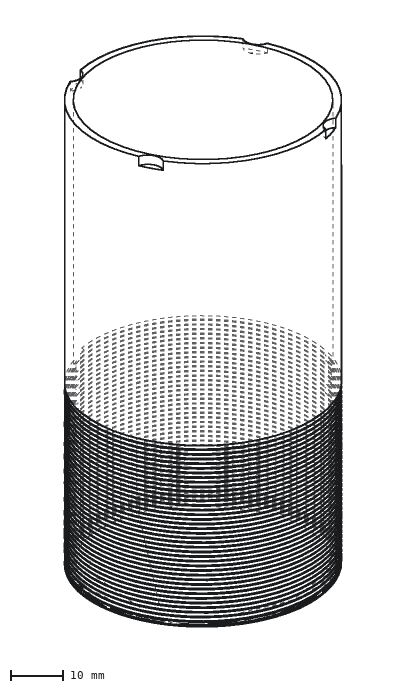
import cadquery as cq

height = 100.0
outer_radius = 26.5
inner_radius = 24.8

thread_length = 40.0
thread_pitch = 1.0
groove_depth = 0.6
groove_width = 0.8
groove_overshoot = 0.1

notch_count = 4
notch_radius = 3.0
notch_depth = 2.0
notch_wall = 0.2
first_notch_angle = 42.7


def make_tube():
    return cq.Workplane("XY").circle(outer_radius).circle(inner_radius).extrude(height)


def make_thread_cutter():
    """V-shaped helical ridge that runs out of the bottom face and ends at the thread length."""
    start_z = -thread_pitch
    helix_height = thread_length - groove_width / 2 - start_z
    path = cq.Wire.makeHelix(thread_pitch, helix_height, outer_radius, cq.Vector(0, 0, start_z))
    widening = 1 + groove_overshoot / groove_depth
    half_width = groove_width / 2 * widening
    profile = (
        cq.Workplane("XZ")
        .moveTo(outer_radius - groove_depth, start_z)
        .lineTo(outer_radius + groove_overshoot, start_z + half_width)
        .lineTo(outer_radius + groove_overshoot, start_z - half_width)
        .close()
    )
    return profile.sweep(cq.Workplane(path), isFrenet=True)


def make_notch_cutters():
    """Upright cylinders that break out of the outer surface and the upper rim but not the bore."""
    notch_circle_radius = inner_radius + notch_wall + notch_radius
    return (
        cq.Workplane("XY")
        .workplane(offset=height - notch_depth)
        .polarArray(notch_circle_radius, first_notch_angle, 360, notch_count)
        .circle(notch_radius)
        .extrude(notch_depth)
    )


result = make_tube().cut(make_thread_cutter()).cut(make_notch_cutters())